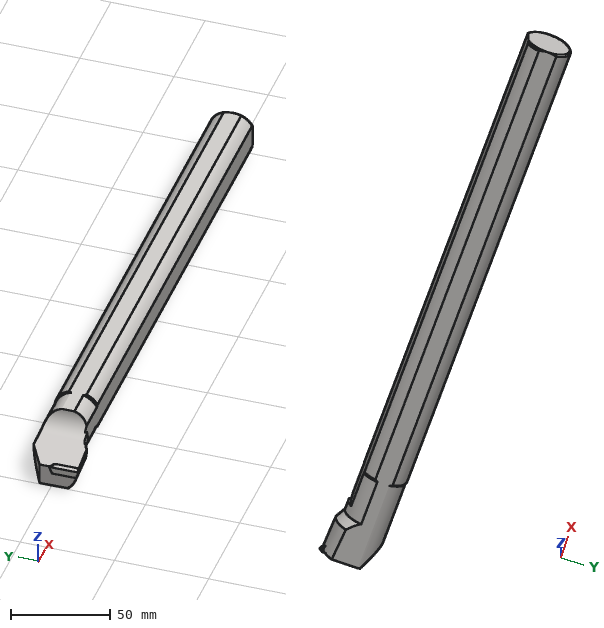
import cadquery as cq
import math

length = 300.5
width = 29.5
shank_diameter = 25.0
shank_radius = shank_diameter / 2
neck_radius = 12.0
height = 23.0
half_height = height / 2
side_flat = 10.5
neck_end = 50.0
neck_taper = 1.0
end_chamfer = 1.0
side_flat_start = 29.8

head_front = 1.0
front_skew = 0.3
head_front_radius = 16.0
head_rear_radius = 15.0
head_rear = 19.0
bulge_end = 24.3
corner_x = 15.0
corner_y = 4.2

rake_front_height = 0.0
rake_end = 24.5
rake_end_height = 2.0
runout_radius = 10.8

tip_y = shank_radius - width
tip_height = 0.45
insert_inner_y = -1.2
insert_depth = 3.5
insert_bottom = -3.3
insert_end_taper = 1.5
insert_side_taper = 1.8

margin = 6.0


def box(x0, x1, y0, y1, z0, z1):
    return cq.Workplane("XY").box(x1 - x0, y1 - y0, z1 - z0, centered=False).translate((x0, y0, z0))


def make_bar():
    bar = (
        cq.Workplane("XY")
        .moveTo(head_front, 0)
        .lineTo(head_front, neck_radius)
        .lineTo(neck_end - neck_taper, neck_radius)
        .lineTo(neck_end, shank_radius)
        .lineTo(length - end_chamfer, shank_radius)
        .lineTo(length, shank_radius - end_chamfer)
        .lineTo(length, 0)
        .close()
        .revolve(360, (0, 0, 0), (1, 0, 0))
    )
    side_cut = box(side_flat_start, length + margin, -2 * shank_radius, -side_flat,
                   -shank_radius, shank_radius)
    return bar.cut(side_cut)


def make_bulge():
    bulge = (
        cq.Workplane("XY")
        .moveTo(head_front, 0)
        .lineTo(head_front, -head_front_radius)
        .lineTo(head_rear, -head_rear_radius)
        .lineTo(bulge_end, -neck_radius)
        .lineTo(bulge_end, 0)
        .close()
        .revolve(360, (0, 0, 0), (1, 0, 0))
    )
    negative_y_half = box(0, bulge_end, -2 * head_front_radius, 0, -2 * half_height, 2 * half_height)
    return bulge.intersect(negative_y_half)


def make_rake_cut():
    """Space above the sloping rake face and its tangent concave runout."""
    slope = math.atan2(rake_end_height - rake_front_height, rake_end)
    center_x = rake_end - runout_radius * math.sin(slope)
    center_z = rake_end_height + runout_radius * math.cos(slope)
    top_x = center_x + math.sqrt(runout_radius**2 - (half_height - center_z) ** 2)
    middle = math.pi / 4
    return (
        cq.Workplane("XZ")
        .moveTo(0, rake_front_height)
        .lineTo(rake_end, rake_end_height)
        .threePointArc(
            (center_x + runout_radius * math.sin(middle), center_z - runout_radius * math.cos(middle)),
            (top_x, half_height),
        )
        .lineTo(top_x, half_height + margin)
        .lineTo(0, half_height + margin)
        .close()
        .extrude(2 * head_front_radius, both=True)
    )


def make_plan_cut():
    """Material removed in plan: the +Y front corner and the skewed front face."""
    skewed_front_x = head_front + front_skew
    return (
        cq.Workplane("XY")
        .moveTo(corner_x, neck_radius)
        .lineTo(head_front, corner_y)
        .lineTo(skewed_front_x, -head_front_radius)
        .lineTo(skewed_front_x, -head_front_radius - margin)
        .lineTo(-margin, -head_front_radius - margin)
        .lineTo(-margin, neck_radius + margin)
        .lineTo(corner_x, neck_radius + margin)
        .close()
        .extrude(2 * half_height, both=True)
    )


def make_insert():
    """Insert whose top slopes from the cutting edge down to the rake face behind it."""
    rear_height = rake_front_height + (rake_end_height - rake_front_height) * insert_depth / rake_end
    plan = (
        cq.Workplane("XY")
        .workplane(offset=insert_bottom)
        .moveTo(0, insert_inner_y)
        .lineTo(0, tip_y)
        .lineTo(insert_depth, tip_y + insert_side_taper)
        .lineTo(insert_depth, insert_inner_y - insert_side_taper)
        .close()
        .extrude(half_height)
    )
    end_profile = (
        cq.Workplane("YZ")
        .moveTo(tip_y, half_height)
        .lineTo(tip_y, tip_height)
        .lineTo(tip_y + insert_end_taper, insert_bottom)
        .lineTo(insert_inner_y - insert_end_taper, insert_bottom)
        .lineTo(insert_inner_y, tip_height)
        .lineTo(insert_inner_y, half_height)
        .close()
        .extrude(insert_depth)
    )
    side_profile = (
        cq.Workplane("XZ")
        .moveTo(0, insert_bottom)
        .lineTo(insert_depth, insert_bottom)
        .lineTo(insert_depth, rear_height)
        .lineTo(0, tip_height)
        .close()
        .extrude(-2 * tip_y, both=True)
    )
    return plan.intersect(end_profile).intersect(side_profile)


rake_cut = make_rake_cut()
insert = make_insert()

flats = box(0, length, -2 * shank_radius, 2 * shank_radius, -half_height, half_height)
holder = make_bar().union(make_bulge()).intersect(flats)
holder = holder.cut(rake_cut).cut(make_plan_cut()).cut(insert)

result = cq.Compound.makeCompound([holder.val(), insert.val()])